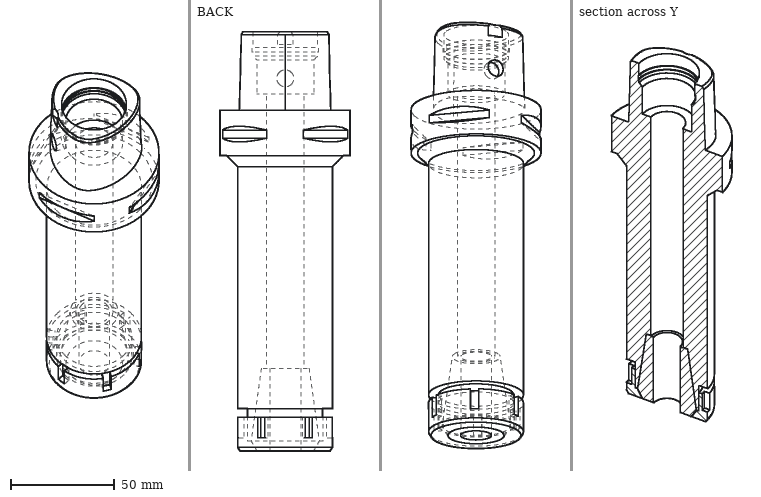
import cadquery as cq
import math


shank_length = 38.0
shank_radius = 22.2
lobe_height = 1.4
shank_taper = 1 / 40
rim_chamfer_height = 1.5
rim_chamfer_width = 0.9
curve_steps = 12

flange_radius = 31.5
flange_height = 22.0
body_radius = 23.0
body_cone_height = 5.3
body_end_z = -144.5
neck_radius = 18.2

groove_count = 4
groove_first_angle = 45.0
groove_z = -11.6
groove_floor_radius = 27.6
groove_floor_width = 3.8
groove_mouth_width = 7.6

bore_radius = 15.7
bore_lip_depth = 7.5
recess_radius = 16.1
recess_end_depth = 9.8
bore_cone_depth = 11.7
inner_bore_radius = 13.8
inner_bore_depth = 30.0
through_hole_radius = 9.0

notch_radius = 5.8
notch_inner_y = -18.3
notch_depth = 6.2
pin_hole_diameter = 8.2
pin_hole_z = 15.5
pin_hole_floor_y = -15.7

overall_length = 203.0
nut_bottom_z = shank_length - overall_length
nut_top_z = -148.5
nut_radius = body_radius
nut_chamfer_height = 1.8
nut_chamfer_width = 1.2
nut_lip_height = 5.0
slot_count = 6
slot_width = 4.0
slot_height = 10.0
slot_depth = 3.0

collet_top_z = -125.0
collet_half_angle = 8.0
collet_mouth_radius = 16.5
collet_bore_radius = 7.5
collet_lip_angle = 30.0

neck_end_z = nut_bottom_z + nut_lip_height
collet_top_radius = collet_mouth_radius - (collet_top_z - neck_end_z) * math.tan(math.radians(collet_half_angle))
collet_face_radius = collet_mouth_radius - nut_lip_height * math.tan(math.radians(collet_lip_angle))


def revolve_profile(points):
    """Turn a closed (radius, z) outline about the Z axis."""
    return cq.Workplane("XZ").polyline(points).close().revolve(360, (0, 0), (0, 1))


def cylinder(radius, bottom_z, top_z):
    return cq.Workplane("XY").workplane(offset=bottom_z).circle(radius).extrude(top_z - bottom_z)


def lobed_wire(mean_radius, z):
    """Closed three-lobed curve with one lobe on +Y, as the envelope of its tangent lines."""
    def point(angle):
        reach = mean_radius - lobe_height * math.sin(3 * angle)
        slope = -3 * lobe_height * math.cos(3 * angle)
        return cq.Vector(
            reach * math.cos(angle) - slope * math.sin(angle),
            reach * math.sin(angle) + slope * math.cos(angle),
            z,
        )

    halves = []
    for start_angle in (-math.pi / 2, math.pi / 2):
        angles = [start_angle + math.pi * step / curve_steps for step in range(curve_steps + 1)]
        halves.append(cq.Edge.makeSpline([point(angle) for angle in angles]))
    return cq.Wire.assembleEdges(halves)


def lobed_frustum(bottom_radius, bottom_z, top_radius, top_z):
    wires = [lobed_wire(bottom_radius, bottom_z), lobed_wire(top_radius, top_z)]
    return cq.Workplane(cq.Solid.makeLoft(wires, True))


def make_shank():
    chamfer_z = shank_length - rim_chamfer_height
    chamfer_radius = shank_radius - shank_taper * chamfer_z
    taper = lobed_frustum(shank_radius, 0, chamfer_radius, chamfer_z)
    rim = lobed_frustum(chamfer_radius, chamfer_z, chamfer_radius - rim_chamfer_width, shank_length)
    return taper.union(rim)


def make_turned_body():
    return revolve_profile([
        (0, 0),
        (flange_radius, 0),
        (flange_radius, -flange_height),
        (body_radius + body_cone_height, -flange_height),
        (body_radius, -flange_height - body_cone_height),
        (body_radius, body_end_z),
        (neck_radius, body_end_z),
        (neck_radius, neck_end_z),
        (0, neck_end_z),
    ])


def make_gripper_groove():
    """Straight trapezoidal groove across the +X side of the flange."""
    half_floor = groove_floor_width / 2
    half_mouth = groove_mouth_width / 2
    profile = [
        (groove_floor_radius, groove_z - half_floor),
        (flange_radius, groove_z - half_mouth),
        (flange_radius, groove_z + half_mouth),
        (groove_floor_radius, groove_z + half_floor),
    ]
    return cq.Workplane("XZ").polyline(profile).close().extrude(flange_radius, both=True)


def make_shank_bore():
    cone_depth = bore_radius - inner_bore_radius
    outline = [
        (0, 0),
        (bore_radius, 0),
        (bore_radius, bore_lip_depth),
        (recess_radius, bore_lip_depth),
        (recess_radius, recess_end_depth),
        (bore_radius, recess_end_depth),
        (bore_radius, bore_cone_depth),
        (inner_bore_radius, bore_cone_depth + cone_depth),
        (inner_bore_radius, inner_bore_depth),
        (0, inner_bore_depth),
    ]
    return revolve_profile([(radius, shank_length - depth) for radius, depth in outline])


def make_key_notch():
    notch = cylinder(notch_radius, shank_length - notch_depth, shank_length)
    return notch.translate((0, notch_inner_y - notch_radius, 0))


def make_pin_hole():
    plane = cq.Workplane("XZ", origin=(0, pin_hole_floor_y, pin_hole_z))
    return plane.circle(pin_hole_diameter / 2).extrude(flange_radius + pin_hole_floor_y)


def make_collet_envelope():
    return revolve_profile([
        (0, nut_bottom_z),
        (collet_face_radius, nut_bottom_z),
        (collet_mouth_radius, neck_end_z),
        (collet_top_radius, collet_top_z),
        (0, collet_top_z),
    ])


def make_holder():
    holder = make_turned_body().union(make_shank())
    for index in range(groove_count):
        angle = groove_first_angle + index * 360 / groove_count
        holder = holder.cut(make_gripper_groove().rotate((0, 0, 0), (0, 0, 1), angle))
    holder = holder.cut(make_shank_bore())
    holder = holder.cut(cylinder(through_hole_radius, collet_top_z, shank_length))
    holder = holder.cut(make_collet_envelope())
    return holder.cut(make_key_notch()).cut(make_pin_hole())


def make_collet():
    return make_collet_envelope().cut(cylinder(collet_bore_radius, nut_bottom_z, collet_top_z))


def make_nut():
    nut = revolve_profile([
        (collet_face_radius, nut_bottom_z),
        (nut_radius - nut_chamfer_width, nut_bottom_z),
        (nut_radius, nut_bottom_z + nut_chamfer_height),
        (nut_radius, nut_top_z),
        (neck_radius, nut_top_z),
        (neck_radius, neck_end_z),
        (collet_mouth_radius, neck_end_z),
    ])
    slot = (
        cq.Workplane("XY")
        .box(slot_depth, slot_width, slot_height, centered=(False, True, False))
        .translate((nut_radius - slot_depth, 0, nut_top_z - slot_height))
    )
    for index in range(slot_count):
        nut = nut.cut(slot.rotate((0, 0, 0), (0, 0, 1), index * 360 / slot_count))
    return nut


holder = make_holder()
nut = make_nut()
collet = make_collet()

result = cq.Compound.makeCompound([holder.val(), nut.val(), collet.val()])